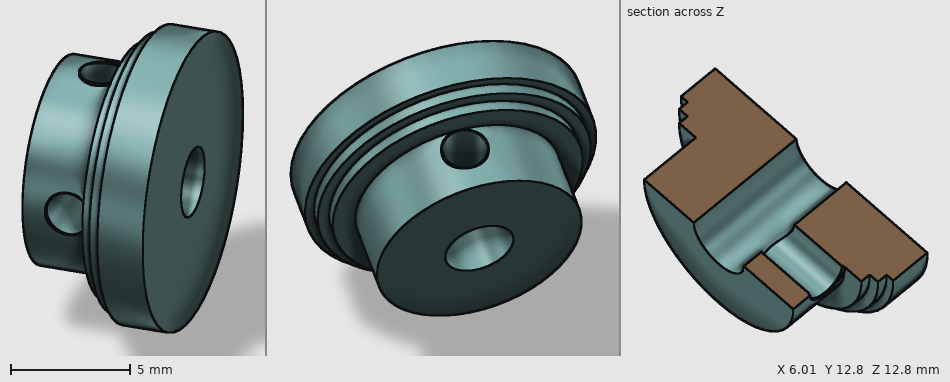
import cadquery as cq

hub_length = 3.01
inner_step_length = 0.49
outer_step_length = 0.5
rim_length = 2.01

rim_diameter = 12.8
outer_step_diameter = 12.0
inner_step_diameter = 11.0
hub_diameter = 9.0
bore_diameter = 3.0

screw_hole_diameter = 1.92
screw_mouth_diameter = 2.0
screw_hole_x = 2.0
mouth_depth = 0.13

total_length = hub_length + inner_step_length + outer_step_length + rim_length
hub_radius = hub_diameter / 2


def disc(start, length, diameter):
    """Cylinder along +X, centred on the part axis."""
    return cq.Workplane("YZ", origin=(start, 0, 0)).circle(diameter / 2).extrude(length)


def radial_cylinder(direction, diameter, inner_radius, outer_radius):
    """Cylinder pointing radially away from the part axis at the screw station."""
    start = cq.Vector(screw_hole_x, 0, 0) + direction * inner_radius
    length = outer_radius - inner_radius
    return cq.Workplane(cq.Solid.makeCylinder(diameter / 2, length, start, direction))


body = disc(0, hub_length, hub_diameter)
station = hub_length
for length, diameter in (
    (inner_step_length, inner_step_diameter),
    (outer_step_length, outer_step_diameter),
    (rim_length, rim_diameter),
):
    body = body.union(disc(station, length, diameter))
    station += length

upward = cq.Vector(0, 0, 1)
sideways = cq.Vector(0, -1, 0)

body = body.union(radial_cylinder(upward, screw_mouth_diameter, bore_diameter, hub_radius))

body = body.cut(
    radial_cylinder(sideways, screw_mouth_diameter, hub_radius - mouth_depth, hub_diameter)
)

for direction in (upward, sideways):
    body = body.cut(radial_cylinder(direction, screw_hole_diameter, 0, hub_diameter))

result = body.cut(disc(0, total_length, bore_diameter))